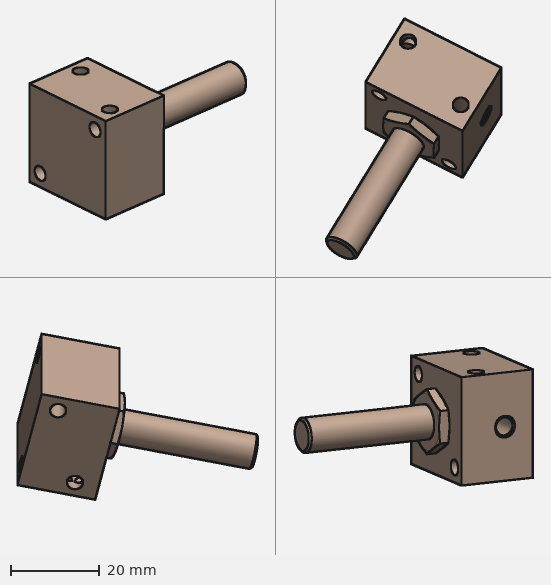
import cadquery as cq
import math

total_length = 52.0
block_side = 25.0
block_depth = 18.0
rod_diameter = 8.0
rod_chamfer = 0.5
nut_across_flats = 13.0
nut_thickness = 2.6
nut_chamfer_angle = 15.0

mount_diameter = 3.6
mount_offset = 9.0
vertical_hole_front_y = 4.6
vertical_hole_rear_y = 12.55

port_diameter = 4.15
port_mouth_diameter = 5.0
port_y = 7.0
port_depth = 8.0

overlap = 0.5
nut_corner_diameter = nut_across_flats / math.cos(math.pi / 6)
nut_back_y = block_depth + nut_thickness


def y_cylinder(diameter, start, end):
    """Cylinder on the Y axis between two Y positions."""
    return cq.Workplane("XZ", origin=(0, start, 0)).circle(diameter / 2).extrude(start - end)


def make_block():
    return cq.Workplane("XY").box(block_side, block_depth, block_side, centered=(True, False, True))


def make_rod():
    rod = y_cylinder(rod_diameter, block_depth - overlap, total_length)
    return rod.faces(">Y").chamfer(rod_chamfer)


def make_nut():
    """Hexagon nut with corners along Z, both faces bevelled by a turned profile."""
    hexagon = (
        cq.Workplane("XZ", origin=(0, block_depth, 0))
        .transformed(rotate=(0, 0, 90))
        .polygon(6, nut_corner_diameter)
        .extrude(-nut_thickness)
    )
    face_radius = nut_across_flats / 2
    corner_radius = nut_corner_diameter / 2
    bevel = (corner_radius - face_radius) * math.tan(math.radians(nut_chamfer_angle))
    turned_envelope = (
        cq.Workplane("XY")
        .moveTo(0, block_depth)
        .lineTo(face_radius, block_depth)
        .lineTo(corner_radius, block_depth + bevel)
        .lineTo(corner_radius, nut_back_y - bevel)
        .lineTo(face_radius, nut_back_y)
        .lineTo(0, nut_back_y)
        .close()
        .revolve(360, (0, 0, 0), (0, 1, 0))
    )
    return hexagon.intersect(turned_envelope)


def make_lengthwise_holes():
    """Two diagonal through holes along Y."""
    return (
        cq.Workplane("XZ")
        .pushPoints([(-mount_offset, -mount_offset), (mount_offset, mount_offset)])
        .circle(mount_diameter / 2)
        .extrude(-block_depth)
    )


def make_vertical_holes():
    """Two diagonal through holes along Z."""
    return (
        cq.Workplane("XY", origin=(0, 0, -block_side / 2))
        .pushPoints([(-mount_offset, vertical_hole_rear_y), (mount_offset, vertical_hole_front_y)])
        .circle(mount_diameter / 2)
        .extrude(block_side)
    )


def make_port():
    """Blind port in the -X face with a 45 degree countersunk mouth."""
    radius = port_diameter / 2
    mouth_radius = port_mouth_diameter / 2
    mouth_depth = mouth_radius - radius
    face_x = -block_side / 2
    floor_x = face_x + port_depth
    return (
        cq.Workplane("XY")
        .moveTo(face_x, port_y)
        .lineTo(face_x, port_y + mouth_radius)
        .lineTo(face_x + mouth_depth, port_y + radius)
        .lineTo(floor_x, port_y + radius)
        .lineTo(floor_x, port_y)
        .close()
        .revolve(360, (face_x, port_y, 0), (floor_x, port_y, 0))
    )


body = make_block().union(make_nut()).union(make_rod())
result = body.cut(make_lengthwise_holes()).cut(make_vertical_holes()).cut(make_port())